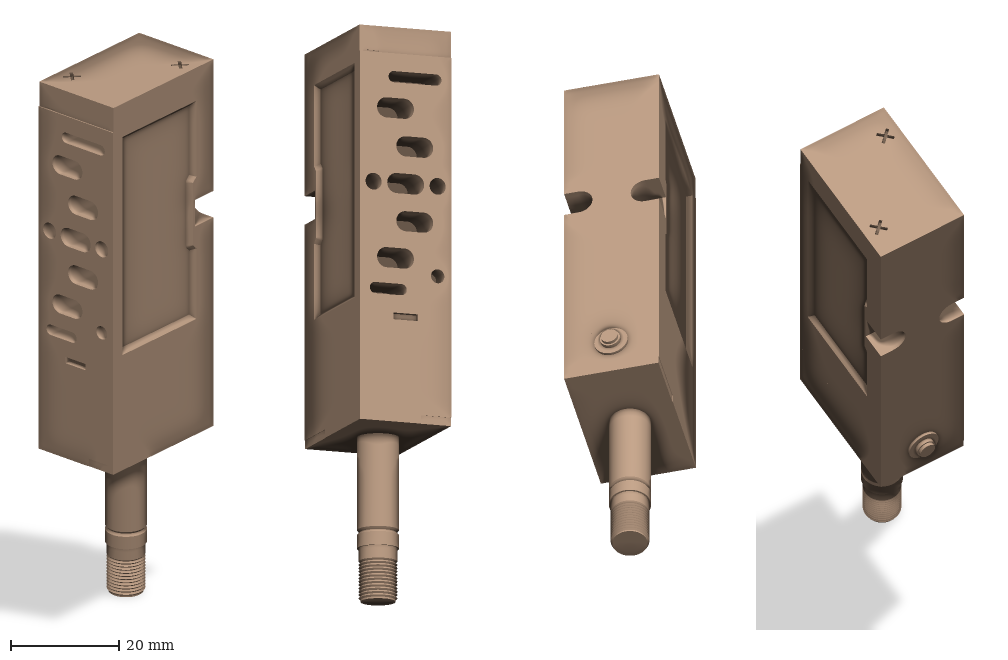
import cadquery as cq

overall_height = 105.5
width = 18.0
depth = 28.6
cap_height = 5.0
housing_height = 49.0
adapter_height = 10.1
pilot_height = 10.4

adapter_base = pilot_height
housing_base = adapter_base + adapter_height
cap_base = housing_base + housing_height
stack_top = cap_base + cap_height
housing_mid = housing_base + housing_height / 2
left_face = -width / 2
front_face = -depth / 2
back_face = depth / 2

cap_setback = 0.2
cap_notch_width = 2.2
cap_notch_height = 0.3
cap_notch_depth = 0.3
cap_notch_x = -6.4
screw_x = 5.9
screw_y = 8.4
screw_diameter = 5.2
screw_head_height = 2.1
cross_length = 3.4
cross_width = 0.6
cross_depth = 0.8

port_length = 7.3
port_height = 3.8
port_depth = 8.4
port_pitch = 7.1
port_offsets = [-2.0, 1.8, 0, 1.8, -2.0]
pilot_slot_height = 2.1
pilot_slot_end = 7.1
pilot_slot_rise = 20.0
upper_slot_length = 10.4
lower_slot_length = 7.3
pin_hole_diameter = 2.6
pin_hole_depth = 4.2
pin_hole_drop = 17.0

mount_hole_x = 6.3
mount_hole_diameter = 3.2
mount_recess_width = 5.4
mount_recess_depth = 5.3

pocket_front_margin = 2.7
pocket_rear_margin = 4.9
pocket_top_margin = 1.8
pocket_bottom_margin = 2.8
pocket_depth = 1.0
pocket_taper = 45
pocket_step = 1.0
pocket_step_half_length = 7.3

adapter_notch_width = 4.9
adapter_notch_height = 1.3
adapter_notch_depth = 1.1

foot_recess_height = 1.6
foot_recess_depth = 0.1
front_foot_length = 6.0
side_foot_length = 10.5

button_rise = 1.9
flange_diameter = 6.3
flange_thickness = 0.5
button_diameter = 3.8
button_tip_diameter = 3.2
button_tip_length = 0.6
button_z = pilot_height - flange_diameter / 2

sleeve_radius = 3.9
sleeve_length = 17.5
sleeve_groove_width = 1.0
sleeve_groove_depth = 0.4
collar_length = 2.5
thread_radius = 3.6
thread_root_radius = 3.3
thread_pitch = 0.6
thread_turns = 12
connector_length = overall_height - stack_top


def block(height, base, front_setback=0.0):
    """Plain block of the stack, standing on Z = base."""
    return (
        cq.Workplane("XY")
        .box(width, depth - front_setback, height, centered=(True, True, False))
        .translate((0, front_setback / 2, base))
    )


def front_sketch_plane(x, z):
    """Plane on the front face whose positive extrusion goes into the part."""
    return cq.Workplane(cq.Plane(origin=(x, front_face, z), xDir=(-1, 0, 0), normal=(0, 1, 0)))


def front_slot(x, z, length, height, slot_depth):
    """Round-ended slot sunk into the front face."""
    return front_sketch_plane(x, z).slot2D(length, height).extrude(slot_depth)


def screw_blank(x, y):
    """Cylinder filled by a screw head, flush with the top of the cap."""
    return (
        cq.Workplane("XY", origin=(x, y, stack_top - screw_head_height))
        .circle(screw_diameter / 2)
        .extrude(screw_head_height)
    )


def make_screw(x, y):
    """Flush screw head with a cross recess turned 45 degrees."""
    screw = screw_blank(x, y)
    for angle in (45, 135):
        arm = (
            cq.Workplane("XY", origin=(x, y, stack_top - cross_depth))
            .transformed(rotate=(0, 0, angle))
            .rect(cross_length, cross_width)
            .extrude(cross_depth)
        )
        screw = screw.cut(arm)
    return screw


def make_cap():
    """End cap with a recess for each screw and a small notch in its lower front edge."""
    cap = block(cap_height, cap_base, cap_setback)
    for side in (1, -1):
        cap = cap.cut(screw_blank(side * screw_x, side * screw_y))
    notch = (
        front_sketch_plane(cap_notch_x, cap_base + cap_notch_height / 2)
        .rect(cap_notch_width, cap_notch_height)
        .extrude(cap_notch_depth)
    )
    return cap.cut(notch)


def cut_ports(housing):
    """Five ports, two pilot slots and a blind pin hole in the front face."""
    middle_port = len(port_offsets) // 2
    for index, x in enumerate(port_offsets):
        z = housing_mid + (middle_port - index) * port_pitch
        housing = housing.cut(front_slot(x, z, port_length, port_height, port_depth))
    upper_x = pilot_slot_end - upper_slot_length / 2
    lower_x = lower_slot_length / 2 - pilot_slot_end
    for x, rise, length in (
        (upper_x, pilot_slot_rise, upper_slot_length),
        (lower_x, -pilot_slot_rise, lower_slot_length),
    ):
        housing = housing.cut(front_slot(x, housing_mid + rise, length, pilot_slot_height, port_depth))
    pin_hole = (
        front_sketch_plane(mount_hole_x, housing_mid - pin_hole_drop)
        .circle(pin_hole_diameter / 2)
        .extrude(pin_hole_depth)
    )
    return housing.cut(pin_hole)


def cut_mounting_holes(housing):
    """Through holes with U-shaped recesses at the rear that are open to the sides."""
    radius = mount_recess_width / 2
    for side in (-1, 1):
        x = side * mount_hole_x
        hole = front_sketch_plane(x, housing_mid).circle(mount_hole_diameter / 2).extrude(depth)
        recess = (
            cq.Workplane("XZ", origin=(0, back_face, housing_mid))
            .moveTo(side * width, -radius)
            .lineTo(x, -radius)
            .threePointArc((x - side * radius, 0), (x, radius))
            .lineTo(side * width, radius)
            .close()
            .extrude(mount_recess_depth)
        )
        housing = housing.cut(hole).cut(recess)
    return housing


def make_label_pocket():
    """Pocket in the left face with sloping walls and an inward step in its rear edge."""
    front = front_face + pocket_front_margin
    rear = back_face - pocket_rear_margin
    top = housing_height / 2 - pocket_top_margin
    bottom = pocket_bottom_margin - housing_height / 2
    stepped_rear = rear - pocket_step
    flat_half_length = pocket_step_half_length - pocket_step
    return (
        cq.Workplane("YZ", origin=(left_face, 0, housing_mid))
        .polyline([
            (front, bottom),
            (rear, bottom),
            (rear, -pocket_step_half_length),
            (stepped_rear, -flat_half_length),
            (stepped_rear, flat_half_length),
            (rear, pocket_step_half_length),
            (rear, top),
            (front, top),
        ])
        .close()
        .extrude(pocket_depth, taper=pocket_taper)
    )


def make_housing():
    housing = block(housing_height, housing_base)
    housing = cut_ports(housing)
    housing = cut_mounting_holes(housing)
    pocket = make_label_pocket()
    return housing.cut(pocket).cut(pocket.mirror("YZ"))


def make_adapter():
    """Adapter block with a notch at the top of its front face."""
    notch = (
        front_sketch_plane(0, housing_base - adapter_notch_height / 2)
        .rect(adapter_notch_width, adapter_notch_height)
        .extrude(adapter_notch_depth)
    )
    return block(adapter_height, adapter_base).cut(notch)


def make_button():
    """Round push button on a flange, turned about the Y direction."""
    button = cq.Workplane("XZ", origin=(0, back_face, button_z))
    flange = button.circle(flange_diameter / 2).extrude(-flange_thickness)
    stem = button.circle(button_diameter / 2).extrude(button_tip_length - button_rise)
    tip = button.circle(button_tip_diameter / 2).extrude(-button_rise)
    return flange.union(stem).union(tip)


def make_connector():
    """Plug connector turned about Z: sleeve, V groove, collar and thread ridges."""
    groove_top = -sleeve_length
    groove_bottom = groove_top - sleeve_groove_width
    collar_bottom = groove_bottom - collar_length
    thread_top = thread_pitch * thread_turns - connector_length
    profile = [
        (0, 0),
        (sleeve_radius, 0),
        (sleeve_radius, groove_top),
        (sleeve_radius - sleeve_groove_depth, (groove_top + groove_bottom) / 2),
        (sleeve_radius, groove_bottom),
        (sleeve_radius, collar_bottom),
        (thread_radius, collar_bottom),
        (thread_radius, thread_top),
    ]
    for turn in range(thread_turns):
        ridge_top = thread_top - turn * thread_pitch
        profile.append((thread_root_radius, ridge_top - thread_pitch / 2))
        if turn < thread_turns - 1:
            profile.append((thread_radius, ridge_top - thread_pitch))
    profile += [(thread_root_radius, -connector_length), (0, -connector_length)]
    return cq.Workplane("XZ").polyline(profile).close().revolve(360, (0, 0, 0), (0, 1, 0))


def make_pilot():
    """Pilot block with foot recesses, push button and plug connector."""
    front_foot = (
        cq.Workplane("XY")
        .box(front_foot_length, foot_recess_depth, foot_recess_height, centered=False)
        .translate((width / 2 - front_foot_length, front_face, 0))
    )
    side_foot = (
        cq.Workplane("XY")
        .box(foot_recess_depth, side_foot_length, foot_recess_height, centered=False)
        .translate((left_face, back_face - side_foot_length, 0))
    )
    pilot = block(pilot_height, 0).cut(front_foot).cut(side_foot)
    return pilot.union(make_button()).union(make_connector())


cap = make_cap()
screws = [make_screw(side * screw_x, side * screw_y) for side in (1, -1)]
housing = make_housing()
adapter = make_adapter()
pilot = make_pilot()

result = cq.Compound.makeCompound(
    [cap.val(), housing.val(), adapter.val(), pilot.val()] + [screw.val() for screw in screws]
)